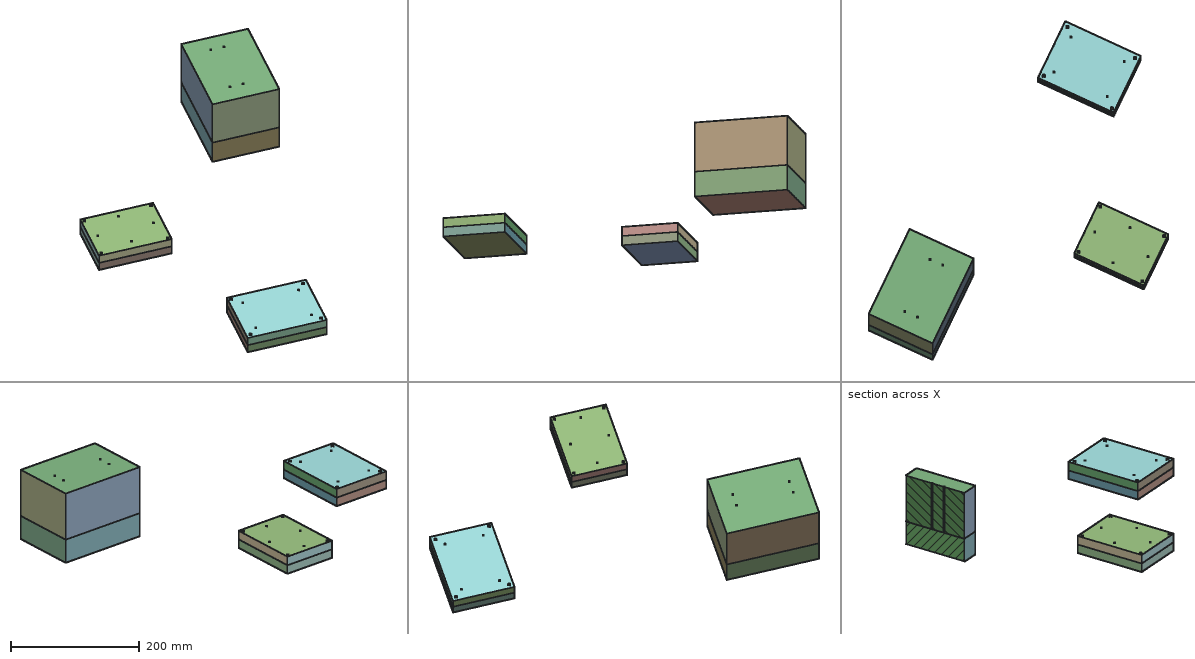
import cadquery as cq

TALL_LENGTH = 150.0
TALL_WIDTH = 110.0
TALL_BASE_HEIGHT = 40.0
TALL_LID_HEIGHT = 80.0

SMALL_LENGTH = 90.0
SMALL_WIDTH = 120.0

LARGE_LENGTH = 100.0
LARGE_WIDTH = 130.5

FLAT_HALF_HEIGHT = 15.0

OVERALL_LENGTH = 574.0
OVERALL_WIDTH = 360.0
RAISED_FLOOR = FLAT_HALF_HEIGHT
TALL_CENTER = (TALL_LENGTH / 2, OVERALL_WIDTH - TALL_WIDTH / 2)
SMALL_CENTER = (OVERALL_LENGTH / 2, SMALL_WIDTH / 2)
LARGE_CENTER_Y = 227.0
LARGE_CENTER = (OVERALL_LENGTH - LARGE_LENGTH / 2, LARGE_CENTER_Y)

MOUNT_LONG_SPACING = 92.0
MOUNT_SHORT_SPACING = 62.0
TALL_MOUNT_SPACING = 22.0
TALL_MOUNT_OFFSET = (-1.0, -5.0)
SIDE_MOUNT_OFFSET = (-2.0, -1.0)
END_MOUNT_OFFSET = (-0.5, -0.5)
LARGE_MOUNT_OFFSET = (0.0, 0.5)
MOUNT_DIAMETER = 2.0

SMALL_SCREW_DIAMETER = 3.35
SMALL_SCREW_INSET = 5.0
LARGE_SCREW_DIAMETER = 4.0
LARGE_SCREW_INSET = 7.0

LARGE_FRONT_LEFT_INSET = 5.0


def block(center, length, width, height, floor):
    """Box centred in plan on a point and standing on a floor level."""
    return (
        cq.Workplane("XY", origin=(*center, floor))
        .box(length, width, height, centered=(True, True, False))
    )


def rectangle_points(length, width):
    """Corners of a rectangle centred on the origin, starting at the front left."""
    return [(sx * length / 2, sy * width / 2) for sx in (-1, 1) for sy in (-1, 1)]


def pair_points(spacing, direction):
    """Two points, evenly spaced about the origin along a unit direction."""
    return [(side * spacing / 2 * direction[0], side * spacing / 2 * direction[1]) for side in (-1, 1)]


def shifted(points, offset):
    """Points moved by an offset."""
    return [(x + offset[0], y + offset[1]) for x, y in points]


def corner_points(length, width, inset):
    """Points set in equally from both edges at the corners of a rectangle."""
    return rectangle_points(length - 2 * inset, width - 2 * inset)


def drill(lid, center, points, diameter):
    """Through holes in a lid, placed relative to its centre in plan."""
    return (
        lid.faces(">Z").workplane(origin=(*center, 0))
        .pushPoints(points)
        .hole(diameter)
    )


def make_tall_base():
    return block(TALL_CENTER, TALL_LENGTH, TALL_WIDTH, TALL_BASE_HEIGHT, RAISED_FLOOR)


def make_tall_lid():
    floor = RAISED_FLOOR + TALL_BASE_HEIGHT
    lid = block(TALL_CENTER, TALL_LENGTH, TALL_WIDTH, TALL_LID_HEIGHT, floor)
    mounts = shifted(rectangle_points(MOUNT_LONG_SPACING, TALL_MOUNT_SPACING), TALL_MOUNT_OFFSET)
    return drill(lid, TALL_CENTER, mounts, MOUNT_DIAMETER)


def make_small_base():
    return block(SMALL_CENTER, SMALL_LENGTH, SMALL_WIDTH, FLAT_HALF_HEIGHT, RAISED_FLOOR)


def make_small_lid():
    floor = RAISED_FLOOR + FLAT_HALF_HEIGHT
    lid = block(SMALL_CENTER, SMALL_LENGTH, SMALL_WIDTH, FLAT_HALF_HEIGHT, floor)
    side_mounts = shifted(pair_points(MOUNT_SHORT_SPACING, (1, 0)), SIDE_MOUNT_OFFSET)
    end_mounts = shifted(pair_points(MOUNT_LONG_SPACING, (0, 1)), END_MOUNT_OFFSET)
    screws = corner_points(SMALL_LENGTH, SMALL_WIDTH, SMALL_SCREW_INSET)
    lid = drill(lid, SMALL_CENTER, side_mounts + end_mounts, MOUNT_DIAMETER)
    return drill(lid, SMALL_CENTER, screws, SMALL_SCREW_DIAMETER)


def make_large_base():
    return block(LARGE_CENTER, LARGE_LENGTH, LARGE_WIDTH, FLAT_HALF_HEIGHT, 0)


def make_large_lid():
    lid = block(LARGE_CENTER, LARGE_LENGTH, LARGE_WIDTH, FLAT_HALF_HEIGHT, FLAT_HALF_HEIGHT)
    mounts = shifted(rectangle_points(MOUNT_SHORT_SPACING, MOUNT_LONG_SPACING), LARGE_MOUNT_OFFSET)
    screws = corner_points(LARGE_LENGTH, LARGE_WIDTH, LARGE_SCREW_INSET)
    screws[0] = corner_points(LARGE_LENGTH, LARGE_WIDTH, LARGE_FRONT_LEFT_INSET)[0]
    lid = drill(lid, LARGE_CENTER, mounts, MOUNT_DIAMETER)
    return drill(lid, LARGE_CENTER, screws, LARGE_SCREW_DIAMETER)


tall_base = make_tall_base()
tall_lid = make_tall_lid()
small_base = make_small_base()
small_lid = make_small_lid()
large_base = make_large_base()
large_lid = make_large_lid()

result = cq.Compound.makeCompound([
    tall_base.val(),
    tall_lid.val(),
    small_base.val(),
    small_lid.val(),
    large_base.val(),
    large_lid.val(),
])